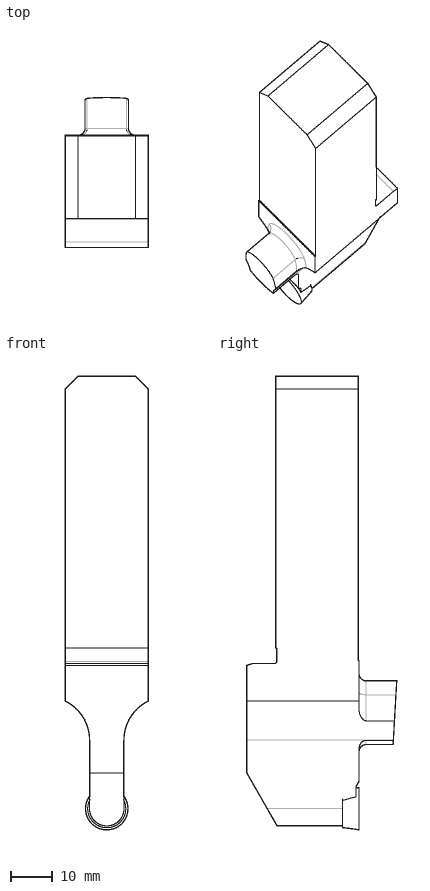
import cadquery as cq
import math

HEIGHT = 109.0
WIDTH = 20.0
HALF_WIDTH = WIDTH / 2

SHANK_STEP = 0.2
SHANK_FRONT = -20.1
HEAD_FRONT = -27.0
REAR_STEP_Z = 40.8
SHELF_Z = 40.0
SHELF_CHAMFER_DEPTH = 1.4
SHELF_CHAMFER_DROP = 0.4
RELIEF_TOP_Z = 43.7
RELIEF_DEPTH = 0.2
RELIEF_FILLET = 0.4
SHANK_CHAMFER = 3.0
NOSE_TOP_Z = 13.7
NOSE_BOTTOM_Z = 1.0
NOSE_BOTTOM_Y = -19.7

BLADE_HALF_WIDTH = 4.1
SHOULDER_RADIUS = 10.5
SHOULDER_BOTTOM_Z = 21.6

BOSS_TOP_Z = 35.9
BOSS_TOP_CORNER = (4.7, 32.5)
BOSS_SIDE_BULGE = (5.2, 27.7)
BOSS_BOTTOM_CORNER = (4.8, 21.9)
BOSS_BOTTOM_Z = 20.5
BOSS_LENGTH_TOP = 9.0
BOSS_LENGTH_BOTTOM = 8.2
BOSS_FILLET = 1.6

INSERT_RADIUS = 5.1
INSERT_BACK_RADIUS = 4.6
INSERT_THICKNESS = 4.0
INSERT_Z = INSERT_RADIUS
SEAT_STEP = 0.8
SEAT_TOP_Z = 10.4
SEAT_SLOPE_TOP_Z = 11.8


def front_sketch(y=0.0):
    """Sketch in XZ at the given Y; positive extrusion goes toward -Y."""
    return cq.Workplane("XZ", origin=(0, y, 0))


def make_side_body():
    """Full-width shank and head from their side profile."""
    relief_y = SHANK_FRONT + RELIEF_DEPTH
    body = (
        cq.Workplane("YZ")
        .moveTo(0, 0)
        .lineTo(0, REAR_STEP_Z)
        .lineTo(-SHANK_STEP, REAR_STEP_Z)
        .lineTo(-SHANK_STEP, HEIGHT)
        .lineTo(SHANK_FRONT, HEIGHT)
        .lineTo(SHANK_FRONT, RELIEF_TOP_Z)
        .lineTo(relief_y, RELIEF_TOP_Z)
        .lineTo(relief_y, SHELF_Z)
        .lineTo(HEAD_FRONT + SHELF_CHAMFER_DEPTH, SHELF_Z)
        .lineTo(HEAD_FRONT, SHELF_Z - SHELF_CHAMFER_DROP)
        .lineTo(HEAD_FRONT, NOSE_TOP_Z)
        .lineTo(NOSE_BOTTOM_Y, NOSE_BOTTOM_Z)
        .lineTo(NOSE_BOTTOM_Y, 0)
        .close()
        .extrude(HALF_WIDTH, both=True)
    )
    inner_corner = cq.selectors.NearestToPointSelector((0, relief_y, SHELF_Z))
    return body.edges(inner_corner).fillet(RELIEF_FILLET)


def make_boss():
    """Oval boss on the rear face, with a sloping end; it starts inside the head."""
    top_x, top_z = BOSS_TOP_CORNER
    side_x, side_z = BOSS_SIDE_BULGE
    bottom_x, bottom_z = BOSS_BOTTOM_CORNER
    boss = (
        front_sketch()
        .moveTo(-top_x, top_z)
        .threePointArc((0, BOSS_TOP_Z), (top_x, top_z))
        .threePointArc((side_x, side_z), (bottom_x, bottom_z))
        .threePointArc((0, BOSS_BOTTOM_Z), (-bottom_x, bottom_z))
        .threePointArc((-side_x, side_z), (-top_x, top_z))
        .close()
        .extrude(-BOSS_LENGTH_TOP)
    )
    end_slope = (
        cq.Workplane("YZ")
        .moveTo(BOSS_LENGTH_TOP, BOSS_TOP_Z)
        .lineTo(BOSS_LENGTH_BOTTOM, BOSS_BOTTOM_Z)
        .lineTo(BOSS_LENGTH_TOP, BOSS_BOTTOM_Z)
        .close()
        .extrude(WIDTH, both=True)
    )
    return boss.cut(end_slope)


def make_front_envelope():
    """Front outline of shank, shoulders and blade, as deep as the whole tool."""
    blade_x = BLADE_HALF_WIDTH
    arc_center_x = blade_x + SHOULDER_RADIUS
    corner_angle = math.acos((arc_center_x - HALF_WIDTH) / SHOULDER_RADIUS)
    corner_z = SHOULDER_BOTTOM_Z + SHOULDER_RADIUS * math.sin(corner_angle)
    mid_x = arc_center_x - SHOULDER_RADIUS * math.cos(corner_angle / 2)
    mid_z = SHOULDER_BOTTOM_Z + SHOULDER_RADIUS * math.sin(corner_angle / 2)
    chamfer_x = HALF_WIDTH - SHANK_CHAMFER
    chamfer_z = HEIGHT - SHANK_CHAMFER
    return (
        front_sketch(BOSS_LENGTH_TOP)
        .moveTo(-chamfer_x, HEIGHT)
        .lineTo(chamfer_x, HEIGHT)
        .lineTo(HALF_WIDTH, chamfer_z)
        .lineTo(HALF_WIDTH, corner_z)
        .threePointArc((mid_x, mid_z), (blade_x, SHOULDER_BOTTOM_Z))
        .lineTo(blade_x, INSERT_Z)
        .threePointArc((0, INSERT_Z - blade_x), (-blade_x, INSERT_Z))
        .lineTo(-blade_x, SHOULDER_BOTTOM_Z)
        .threePointArc((-mid_x, mid_z), (-HALF_WIDTH, corner_z))
        .lineTo(-HALF_WIDTH, chamfer_z)
        .close()
        .extrude(BOSS_LENGTH_TOP - HEAD_FRONT)
    )


def make_seat_step():
    """Material removed from the rear of the blade around and above the insert."""
    return (
        cq.Workplane("YZ")
        .moveTo(0, 0)
        .lineTo(0, SEAT_SLOPE_TOP_Z)
        .lineTo(-SEAT_STEP, SEAT_TOP_Z)
        .lineTo(-SEAT_STEP, 0)
        .close()
        .extrude(HALF_WIDTH, both=True)
    )


def make_insert():
    """Round insert, tapering from its rear face toward the front."""
    return (
        front_sketch()
        .center(0, INSERT_Z)
        .circle(INSERT_RADIUS)
        .workplane(offset=INSERT_THICKNESS)
        .circle(INSERT_BACK_RADIUS)
        .loft(ruled=True)
    )


def make_holder(insert):
    """Tool holder with its rear boss and a recess matching the insert."""
    holder = make_side_body().union(make_boss())
    root_half_width = BOSS_SIDE_BULGE[0] + BOSS_FILLET
    boss_root = cq.selectors.BoxSelector(
        (-root_half_width, -SHANK_STEP / 2, BOSS_BOTTOM_Z - BOSS_FILLET),
        (root_half_width, SHANK_STEP / 2, BOSS_TOP_Z + BOSS_FILLET),
    )
    holder = holder.edges(boss_root).fillet(BOSS_FILLET)
    return holder.intersect(make_front_envelope()).cut(make_seat_step()).cut(insert)


insert = make_insert()
holder = make_holder(insert)

result = cq.Compound.makeCompound([holder.val(), insert.val()])